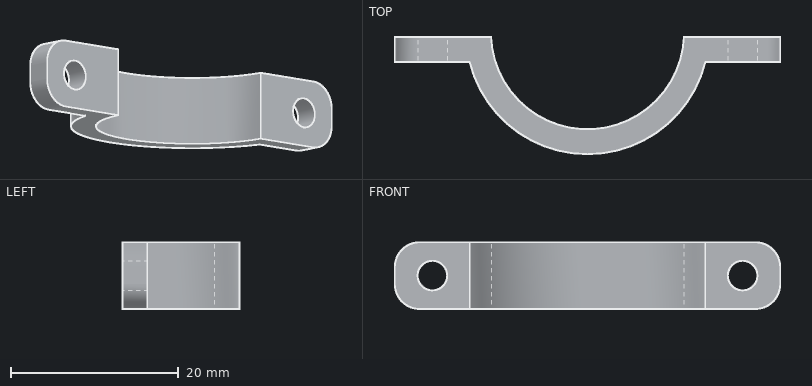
import cadquery as cq

total_length = 46.0
band_width = 8.0
wall = 3.0
inner_radius = 11.5
back_offset = 0.5
hole_diameter = 3.5
hole_spacing = 37.0
corner_radius = 3.0

outer_radius = inner_radius + wall
back_y = -back_offset
ear_front_y = back_y - wall


def half_space_block():
    """Block that keeps everything in front of the rear mounting face."""
    depth = outer_radius - back_offset
    return (
        cq.Workplane("XY")
        .box(total_length, depth, band_width, centered=(True, False, True))
        .translate((0, back_y - depth, 0))
    )


def ear_plate():
    """Full-length mounting plate with rounded ends and two screw holes."""
    plate = (
        cq.Workplane("XY")
        .box(total_length, wall, band_width, centered=(True, False, True))
        .translate((0, ear_front_y, 0))
        .edges("|Y")
        .fillet(corner_radius)
    )
    hole_x = hole_spacing / 2
    holes = (
        cq.Workplane("XZ", origin=(0, back_y, 0))
        .pushPoints([(-hole_x, 0), (hole_x, 0)])
        .circle(hole_diameter / 2)
        .extrude(wall)
    )
    return plate.cut(holes)


def cylinder(radius):
    """Cylinder on the bore axis, as tall as the band is wide."""
    return cq.Workplane("XY").circle(radius).extrude(band_width / 2, both=True)


saddle = cylinder(outer_radius).intersect(half_space_block())
result = saddle.union(ear_plate()).cut(cylinder(inner_radius))